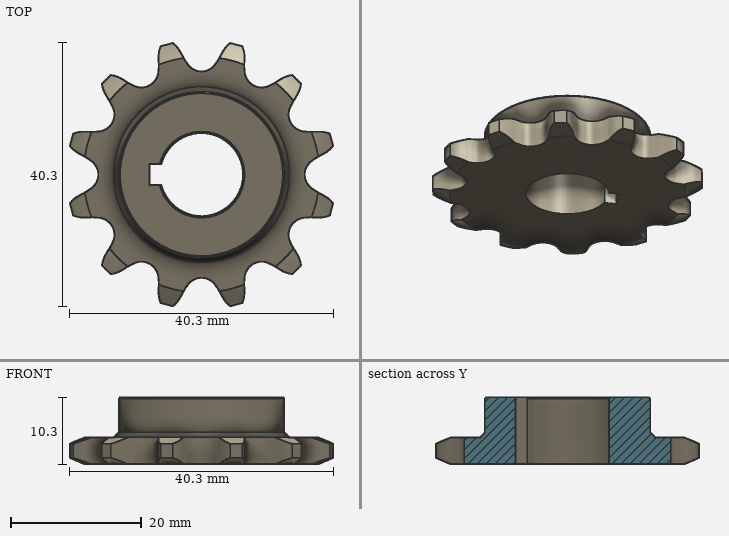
import cadquery as cq
import math

INCH = 25.4

PITCH = 0.375 * INCH
ROLLER_DIAMETER = 0.200 * INCH
TEETH = 12

PLATE_THICKNESS = 4.11
BEVEL_WIDTH = 2.57
BEVEL_DEPTH = 0.98

HUB_DIAMETER = 1.0 * INCH
OVERALL_HEIGHT = 0.405 * INCH
HUB_FLARE = 0.03 * INCH
EDGE_CHAMFER = 0.25

BORE_DIAMETER = 0.5 * INCH
KEY_WIDTH = 0.125 * INCH
KEY_DEPTH = KEY_WIDTH / 2

HALF_TOOTH_ANGLE = math.pi / TEETH
PITCH_RADIUS = PITCH / (2 * math.sin(HALF_TOOTH_ANGLE))
TIP_RADIUS = PITCH * (0.6 + 1 / math.tan(HALF_TOOTH_ANGLE)) / 2

FORM_CLEARANCE = 0.0015 * INCH
SEAT_RADIUS = 0.5025 * ROLLER_DIAMETER + FORM_CLEARANCE
SEAT_END_ANGLE = math.radians(30)
WORKING_OFFSET = 0.8 * ROLLER_DIAMETER
WORKING_OFFSET_ANGLE = math.radians(35 + 60 / TEETH)
WORKING_RADIUS = SEAT_RADIUS + WORKING_OFFSET
WORKING_END_ANGLE = math.radians(23.5)
TOPPING_OFFSET = 1.4 * ROLLER_DIAMETER
TOPPING_RADIUS = 4.27
TOPPING_START_ANGLE = math.radians(32)
TIP_HALF_WIDTH = 0.96


def polar(center, radius, angle):
    """Point at a radius and angle (radians) from a center."""
    x, y = center
    return (x + radius * math.cos(angle), y + radius * math.sin(angle))


def mirrored(point):
    """Point reflected across the center line of the roller gap."""
    return (-point[0], point[1])


def rotated(point, angle):
    """Point turned about the sprocket axis."""
    x, y = point
    c = math.cos(angle)
    s = math.sin(angle)
    return (c * x - s * y, s * x + c * y)


def gap_flank():
    """Corner points of the right flank of the gap centered on +Y, from root to tip."""
    seat_center = (0, PITCH_RADIUS)
    working_center = polar(seat_center, WORKING_OFFSET, math.pi - WORKING_OFFSET_ANGLE)
    topping_center = polar(seat_center, TOPPING_OFFSET, -HALF_TOOTH_ANGLE)
    tip_angle = math.pi / 2 - HALF_TOOTH_ANGLE + math.asin(TIP_HALF_WIDTH / TIP_RADIUS)
    return {
        "seat_end": polar(seat_center, SEAT_RADIUS, -SEAT_END_ANGLE),
        "working_end": polar(working_center, WORKING_RADIUS, -WORKING_END_ANGLE),
        "topping_start": polar(topping_center, TOPPING_RADIUS, math.pi - TOPPING_START_ANGLE),
        "tip": polar((0, 0), TIP_RADIUS, tip_angle),
    }


def tooth_outline():
    """Closed outline of all the gaps and tooth tips, run clockwise."""
    right = gap_flank()
    left = {name: mirrored(point) for name, point in right.items()}
    root = (0, PITCH_RADIUS - SEAT_RADIUS)
    outline = cq.Workplane("XY").moveTo(*left["tip"])

    for index in range(TEETH):
        turn = -2 * HALF_TOOTH_ANGLE * index
        next_turn = turn - 2 * HALF_TOOTH_ANGLE
        outline = (
            outline.radiusArc(rotated(left["topping_start"], turn), TOPPING_RADIUS)
            .lineTo(*rotated(left["working_end"], turn))
            .radiusArc(rotated(left["seat_end"], turn), -WORKING_RADIUS)
            .threePointArc(rotated(root, turn), rotated(right["seat_end"], turn))
            .radiusArc(rotated(right["working_end"], turn), -WORKING_RADIUS)
            .lineTo(*rotated(right["topping_start"], turn))
            .radiusArc(rotated(right["tip"], turn), TOPPING_RADIUS)
            .radiusArc(rotated(left["tip"], next_turn), TIP_RADIUS)
        )
    return outline.close()


def revolved(profile):
    """Solid of revolution about Z of a closed (radius, Z) profile."""
    return cq.Workplane("XZ").polyline(profile).close().revolve(360, (0, 0), (0, 1))


def toothed_plate():
    """Toothed disc with its teeth beveled on both faces."""
    face_radius = TIP_RADIUS - BEVEL_WIDTH
    overrun = 1.2
    rim_radius = face_radius + overrun * BEVEL_WIDTH
    rim_inset = overrun * BEVEL_DEPTH
    blank = revolved([
        (0, 0),
        (face_radius, 0),
        (rim_radius, rim_inset),
        (rim_radius, PLATE_THICKNESS - rim_inset),
        (face_radius, PLATE_THICKNESS),
        (0, PLATE_THICKNESS),
    ])
    return tooth_outline().extrude(PLATE_THICKNESS).intersect(blank)


def hub():
    """Round hub with a conical flare at its foot and a chamfered top edge."""
    radius = HUB_DIAMETER / 2
    return revolved([
        (0, 0),
        (radius + HUB_FLARE, 0),
        (radius + HUB_FLARE, PLATE_THICKNESS),
        (radius, PLATE_THICKNESS + HUB_FLARE),
        (radius, OVERALL_HEIGHT - EDGE_CHAMFER),
        (radius - EDGE_CHAMFER, OVERALL_HEIGHT),
        (0, OVERALL_HEIGHT),
    ])


def bore_and_keyway():
    """Cutting body: through bore chamfered at the top, with a keyway on the -X side."""
    radius = BORE_DIAMETER / 2
    bore = revolved([
        (0, 0),
        (radius, 0),
        (radius, OVERALL_HEIGHT - EDGE_CHAMFER),
        (radius + EDGE_CHAMFER, OVERALL_HEIGHT),
        (0, OVERALL_HEIGHT),
    ])
    key_length = radius + KEY_DEPTH
    keyway = (
        cq.Workplane("XY")
        .center(-key_length / 2, 0)
        .rect(key_length, KEY_WIDTH)
        .extrude(OVERALL_HEIGHT)
    )
    return bore.union(keyway)


result = toothed_plate().union(hub()).cut(bore_and_keyway())